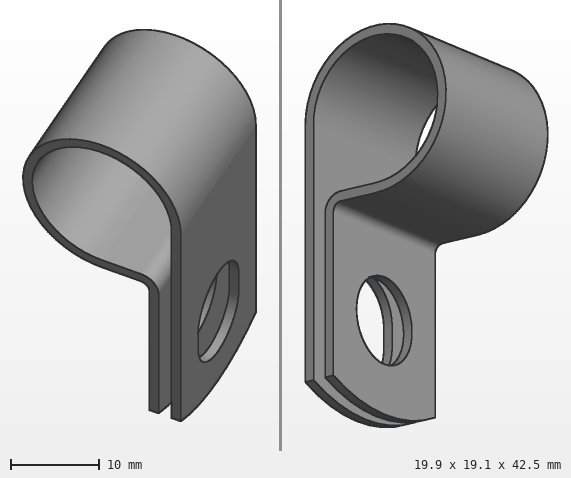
import cadquery as cq
import math

DIAGONAL = math.sqrt(0.5)

height = 42.45
width = 19.05
loop_radius = 9.95
thickness = 1.2
leg_gap = 1.6
bend_inner_radius = 1.05
hole_diameter = 10.35
hole_above_end = 11.12
slot_extra_length = 2.38
end_rise = 2.12

bore_radius = loop_radius - thickness
bend_outer_radius = bend_inner_radius + thickness
short_leg_outer = bore_radius - leg_gap
short_leg_inner = short_leg_outer - thickness
bend_x = short_leg_outer - bend_outer_radius
bend_z = -bore_radius - bend_outer_radius
bottom_z = loop_radius - height
half_width = width / 2
hole_z = bottom_z + hole_above_end
leg_split_x = bore_radius - leg_gap / 2


def strip():
    """Bent strip: long leg, three-quarter loop, bend and short leg."""
    return (
        cq.Workplane("XZ")
        .moveTo(loop_radius, bottom_z)
        .lineTo(loop_radius, 0)
        .threePointArc((-loop_radius * DIAGONAL, loop_radius * DIAGONAL), (0, -loop_radius))
        .lineTo(bend_x, -loop_radius)
        .radiusArc((short_leg_inner, bend_z), bend_inner_radius)
        .lineTo(short_leg_inner, bottom_z)
        .lineTo(short_leg_outer, bottom_z)
        .lineTo(short_leg_outer, bend_z)
        .radiusArc((bend_x, -bore_radius), -bend_outer_radius)
        .lineTo(0, -bore_radius)
        .threePointArc((-bore_radius * DIAGONAL, bore_radius * DIAGONAL), (bore_radius, 0))
        .lineTo(bore_radius, bottom_z)
        .close()
        .extrude(width)
        .translate((0, half_width, 0))
    )


def side_envelope():
    """Side outline of the clip, with its rounded lower end."""
    corner_z = bottom_z + end_rise
    return (
        cq.Workplane("YZ")
        .moveTo(-half_width, loop_radius)
        .lineTo(-half_width, corner_z)
        .threePointArc((0, bottom_z), (half_width, corner_z))
        .lineTo(half_width, loop_radius)
        .close()
        .extrude(2 * loop_radius)
        .translate((-loop_radius, 0, 0))
    )


def round_hole():
    """Cutter for the round hole in the short leg."""
    return (
        cq.Workplane("YZ")
        .center(0, hole_z)
        .circle(hole_diameter / 2)
        .extrude(leg_split_x)
    )


def slot_hole():
    """Cutter for the vertical slot in the long leg, centred on the round hole."""
    return (
        cq.Workplane("YZ", origin=(leg_split_x, 0, 0))
        .center(0, hole_z)
        .slot2D(hole_diameter + slot_extra_length, hole_diameter, 90)
        .extrude(loop_radius - leg_split_x)
    )


result = strip().intersect(side_envelope()).cut(round_hole()).cut(slot_hole())